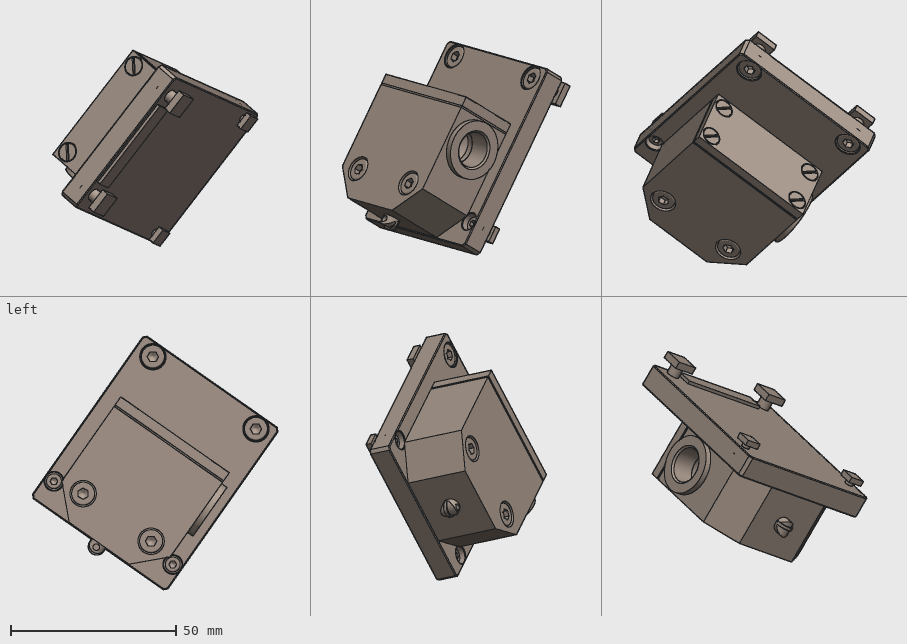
import cadquery as cq
import math


overall_depth = 32.5
overall_height = 76.7
tilt = 35.0

plate_thickness = 7.0
plate_width = 50.0
plate_corner = 1.0
plate_edge = 0.3
sin_tilt = math.sin(math.radians(tilt))
cos_tilt = math.cos(math.radians(tilt))
plate_length = (overall_height + (2 * plate_corner - plate_width) * sin_tilt) / cos_tilt

block_depth = 20.0
block_width = 40.0
block_top = 10.4
block_bottom = -29.6
block_corner = 9.0
cover_thickness = 3.0
gasket_thickness = 0.5
gasket_inset = 0.1

block_face = -overall_depth / 2
plate_front = block_face + block_depth
plate_back = plate_front + plate_thickness
bolt_end = overall_depth / 2
block_middle = (block_face + plate_front) / 2
small_bolt_reach = 3.1
small_bolt_end = plate_back + small_bolt_reach

pad_width = 30.0
pad_height = 6.0
pad_thickness = 1.0
pad_top = 28.5

large_spacing = 38.0
large_z = 25.9
large_bore = 7.5
large_head = 7.0
large_shank = 4.0
large_socket = 3.0
large_nut = 7.0
large_nut_thickness = 2.2
large_recess = 0.4

small_spacing = 43.85
small_z = -22.1
small_bore = 5.5
small_head = 4.5
small_recess = 1.5
small_shank = 2.5
small_socket = 2.0
small_nut = 5.0
small_nut_thickness = 1.8

block_bolt_spacing = 25.1
block_bolt_z = -20.1
block_bolt_bore = 8.0
block_bolt_recess = 0.2
left_socket_turn = 30.0

bore_depth = 4.0
bore_mouth_chamfer = 0.2
head_edge = 0.4
socket_depth_ratio = 2 / 3
drill_half_angle = 59.0

cover_screw_head = 5.5
cover_screw_bore = 6.0
cover_screw_pitch_x = 13.0
cover_screw_pitch_y = 33.05
cover_screw_slot = 0.8
cover_groove_depth = 1.0
slot_angle = -45.0

port_z = -2.6
port_boss = 18.0
port_boss_height = 2.0
port_bore = 10.8
port_bore_depth = 8.0
port_mouth = 12.0
port_step = 0.1
port_step_depth = 2.1

lug_diameter = 5.2
lug_z = -30.8
lug_disc_thickness = 1.0
lug_end_offset = 0.6
lug_hole = 2.0
lug_hole_z = -31.05


def box(x_start, x_end, width, z_start, z_end):
    """Box centred on Y = 0."""
    return (
        cq.Workplane("XY")
        .box(x_end - x_start, width, z_end - z_start, centered=(False, True, False))
        .translate((x_start, 0, z_start))
    )


def rod(x_start, x_end, diameter, y, z):
    """Cylinder along X."""
    return cq.Workplane("YZ", origin=(x_start, y, z)).circle(diameter / 2).extrude(x_end - x_start)


def cone(base, direction, base_diameter, end_diameter, height):
    """Cone or frustum growing from the given base point."""
    base_point = cq.Vector(*base)
    axis = cq.Vector(*direction)
    return cq.Workplane(cq.Solid.makeCone(base_diameter / 2, end_diameter / 2, height, base_point, axis))


def drill_point(base, direction, diameter):
    height = diameter / 2 / math.tan(math.radians(drill_half_angle))
    return cone(base, direction, diameter, 0, height)


def make_plate():
    return (
        box(plate_front, plate_back, plate_width, -plate_length / 2, plate_length / 2)
        .edges("|X")
        .chamfer(plate_corner)
        .faces("<X or >X")
        .edges()
        .chamfer(plate_edge)
    )


def make_block():
    cover_bottom = block_top - cover_thickness
    gasket_bottom = cover_bottom - gasket_thickness
    body = (
        box(block_face, plate_front, block_width, block_bottom, gasket_bottom)
        .faces("<Z")
        .edges("|X")
        .chamfer(block_corner)
    )
    gasket_width = block_width - 2 * gasket_inset
    gasket = box(block_face + gasket_inset, plate_front, gasket_width, gasket_bottom, cover_bottom)
    cover = box(block_face, plate_front, block_width, cover_bottom, block_top)
    return body.union(gasket).union(cover)


def socket_head(face, recess, head, socket, y, z, turn):
    """Bolt head sunk below a face, with a drilled hexagon socket."""
    top = face + recess
    socket_depth = socket * socket_depth_ratio
    corners = socket / math.cos(math.pi / 6)
    body = rod(top, face + bore_depth, head, y, z).faces("<X").edges().fillet(head_edge)
    hexagon = (
        cq.Workplane("YZ")
        .polygon(6, corners)
        .extrude(socket_depth)
        .rotate((0, 0, 0), (1, 0, 0), turn - tilt)
        .translate((top, y, z))
    )
    point = drill_point((top + socket_depth, y, z), (1, 0, 0), corners).intersect(
        hexagon.translate((socket_depth, 0, 0))
    )
    return body.cut(hexagon).cut(point)


def add_bolt(part, face, bore, recess, head, socket, y, z, chamfer=0, turn=0):
    """Counterbore, chamfered at its mouth where asked, with a socket head in it."""
    hole = rod(face, face + bore_depth, bore, y, z)
    if chamfer:
        hole = hole.union(cone((face, y, z), (1, 0, 0), bore + 2 * chamfer, bore, chamfer))
    part = part.cut(hole)
    return part.union(socket_head(face, recess, head, socket, y, z, turn))


def add_nut(part, shank, nut, thickness, end, y, z):
    """Bolt shank behind the plate with a square nut at its end."""
    part = part.union(rod(plate_back, end, shank, y, z))
    return part.union(box(end - thickness, end, nut, z - nut / 2, z + nut / 2).translate((0, y, 0)))


def add_cover_screw(part, x, y):
    ring = (
        cq.Workplane("XY", origin=(x, y, block_top))
        .circle(cover_screw_bore / 2)
        .circle(cover_screw_head / 2)
        .extrude(-cover_groove_depth)
    )
    slot = (
        cq.Workplane("XY", origin=(x, y, block_top))
        .transformed(rotate=(0, 0, slot_angle))
        .rect(cover_screw_head, cover_screw_slot)
        .extrude(-cover_groove_depth)
    )
    return part.cut(ring).cut(slot)


def add_port(part):
    mouth_y = -block_width / 2 - port_boss_height
    step_bore = port_bore - 2 * port_step
    step_end = port_bore_depth + port_step_depth

    def port_rod(diameter, depth):
        return (
            cq.Workplane("XZ", origin=(block_middle, mouth_y, port_z))
            .circle(diameter / 2)
            .extrude(-depth)
        )

    part = part.union(port_rod(port_boss, port_boss_height))
    bore = port_rod(port_bore, port_bore_depth).union(port_rod(step_bore, step_end))
    bore = bore.union(drill_point((block_middle, mouth_y + step_end, port_z), (0, 1, 0), step_bore))
    mouth_depth = (port_mouth - port_bore) / 2
    mouth = cone((block_middle, mouth_y, port_z), (0, 1, 0), port_mouth, port_bore, mouth_depth)
    return part.cut(bore).cut(mouth)


def add_lug(part):
    """Round-ended stud under the block with a round disc behind it, cross-drilled from the front."""
    radius = lug_diameter / 2
    disc = rod(block_middle, block_middle + lug_disc_thickness, lug_diameter, 0, lug_z)
    stud = (
        cq.Workplane("XY", origin=(block_middle, 0, lug_z - radius))
        .circle(radius)
        .extrude(lug_diameter)
    )
    end_round = rod(block_middle - radius, block_middle + radius, lug_diameter, 0, lug_z + lug_end_offset)
    hole = rod(block_middle - radius, block_middle, lug_hole, 0, lug_hole_z)
    below_block = box(block_face, plate_front, block_width, lug_z - lug_diameter, block_bottom)
    lug = disc.union(stud.intersect(end_round)).cut(hole).intersect(below_block)
    return part.union(lug)


part = make_plate().union(make_block())
part = part.union(box(plate_back, plate_back + pad_thickness, pad_width, pad_top - pad_height, pad_top))
part = add_port(part)
part = add_lug(part)

for side in (-1, 1):
    y = side * large_spacing / 2
    part = add_bolt(
        part, plate_front, large_bore, large_recess, large_head, large_socket,
        y, large_z, chamfer=bore_mouth_chamfer,
    )
    part = add_nut(part, large_shank, large_nut, large_nut_thickness, bolt_end, y, large_z)

    y = side * small_spacing / 2
    part = add_bolt(
        part, plate_front, small_bore, small_recess, small_head, small_socket,
        y, small_z, chamfer=bore_mouth_chamfer,
    )
    part = add_nut(part, small_shank, small_nut, small_nut_thickness, small_bolt_end, y, small_z)

    y = side * block_bolt_spacing / 2
    part = add_bolt(
        part, block_face, block_bolt_bore, block_bolt_recess, large_head, large_socket,
        y, block_bolt_z, turn=left_socket_turn if side > 0 else 0,
    )

    y = side * cover_screw_pitch_y / 2
    for end in (-1, 1):
        part = add_cover_screw(part, block_middle + end * cover_screw_pitch_x / 2, y)

result = part.rotate((0, 0, 0), (1, 0, 0), tilt)